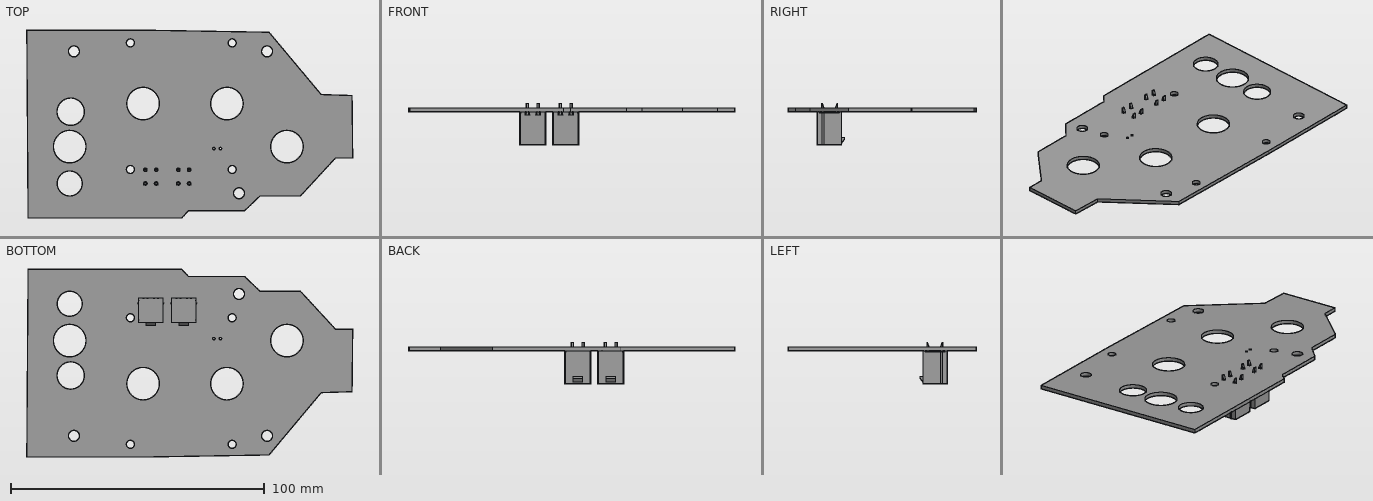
import cadquery as cq


board_length = 128.6
board_width = 74.2
board_thickness = 1.5
left = -board_length / 2
right = board_length / 2
back = board_width / 2
front = -board_width / 2
tail_front = -13.4
shoulder_front = -28.4
middle_front = -34.2

board_outline = [
    (left, back),
    (-19.3, back),
    (31.2, 36.3),
    (51.8, 11.7),
    (64.0, 11.3),
    (right, tail_front),
    (57.5, tail_front),
    (43.6, shoulder_front),
    (27.6, shoulder_front),
    (21.6, middle_front),
    (-0.5, middle_front),
    (-3.2, front),
    (-63.8, front),
]

small_mount_diameter = 3.1
small_mount_left = -23.4
small_mount_right = 16.7
small_mount_back = 32.0
small_mount_front = -17.9
small_mount_centres = [
    (x, y)
    for x in (small_mount_left, small_mount_right)
    for y in (small_mount_back, small_mount_front)
]

large_mount_diameter = 4.2
large_mount_centres = [(-45.6, 28.7), (30.5, 28.7), (19.4, -27.3)]

opening_diameter = 12.7
opening_centres = [(-18.4, 8.1), (14.7, 8.1), (-47.3, -8.9), (38.3, -8.9)]

back_port_diameter = 10.7
back_port_centre = (-46.9, 4.9)

front_port_diameter = 9.8
front_port_centre = (-47.3, -23.4)

lead_hole_diameter = 0.9
lead_hole_centres = [(9.5, -9.6), (12.1, -9.6)]

headers_middle_x = -8.9
header_spacing = 13.0
header_centre_y = -20.8
header_side = 9.6
header_height = 13.0

pin_pitch_x = 4.2
pin_pitch_y = 5.4
pin_rows_centre_y = -20.7
pin_width = 1.0
pin_thickness = 0.9
pin_tip_thickness = 0.3
pin_height = 1.8
pin_hole_diameter = 1.4

rib_reach = 0.4
rib_width = 0.8
rib_y = -23.4

relief_width = 7.7
relief_depth = 0.4

notch_top_width = 1.2
notch_bottom_width = 1.9
notch_height = 1.2

latch_reach = 1.2
latch_width = 3.9
latch_top = 3.0
latch_nose = 2.2
latch_bottom = 0.6

header_centres_x = [headers_middle_x + side * header_spacing / 2 for side in (-1, 1)]
board_bottom = -board_thickness
header_bottom = board_bottom - header_height
header_front = header_centre_y - header_side / 2
header_back = header_centre_y + header_side / 2


def pin_columns(header_x):
    return (header_x - pin_pitch_x / 2, header_x + pin_pitch_x / 2)


def pin_rows():
    """Y of each pin row, with the direction that points away from the other row."""
    return [(pin_rows_centre_y + side * pin_pitch_y / 2, side) for side in (-1, 1)]


def drill(body, diameter, centres):
    drills = (
        cq.Workplane("XY", origin=(0, 0, board_bottom))
        .pushPoints(centres)
        .circle(diameter / 2)
        .extrude(board_thickness)
    )
    return body.cut(drills)


def make_board():
    board = (
        cq.Workplane("XY", origin=(0, 0, board_bottom))
        .polyline(board_outline)
        .close()
        .extrude(board_thickness)
    )
    board = drill(board, small_mount_diameter, small_mount_centres)
    board = drill(board, large_mount_diameter, large_mount_centres)
    board = drill(board, opening_diameter, opening_centres)
    board = drill(board, back_port_diameter, [back_port_centre])
    board = drill(board, front_port_diameter, [front_port_centre])
    board = drill(board, lead_hole_diameter, lead_hole_centres)
    for header_x in header_centres_x:
        pin_centres = [(x, y) for x in pin_columns(header_x) for y, _ in pin_rows()]
        board = drill(board, pin_hole_diameter, pin_centres)
    return board


def make_pin(x, y, outward):
    """Rectangular pin whose tip is a wedge, upright on its outward side."""
    inner = y - outward * pin_thickness / 2
    outer = y + outward * pin_thickness / 2
    tip_inner = outer - outward * pin_tip_thickness
    root = board_bottom - notch_height
    profile = [(inner, root), (outer, root), (outer, pin_height), (tip_inner, pin_height), (inner, 0)]
    return (
        cq.Workplane("YZ", origin=(x - pin_width / 2, 0, 0))
        .polyline(profile)
        .close()
        .extrude(pin_width)
    )


def make_rib(header_x, side):
    """Triangular rib that rises from the side wall towards the front."""
    wall = header_x + side * header_side / 2
    rib_back = rib_y + rib_width / 2
    rib_front = rib_y - rib_width / 2
    profile = [(wall, rib_back), (wall + side * rib_reach, rib_front), (wall, rib_front)]
    return (
        cq.Workplane("XY", origin=(0, 0, header_bottom))
        .polyline(profile)
        .close()
        .extrude(header_height)
    )


def make_relief(header_x):
    return cq.Workplane("XY").box(header_side, relief_width, relief_depth).translate(
        (header_x, header_centre_y, board_bottom - relief_depth / 2)
    )


def make_notch(x):
    """Flared notch that runs from the front face back to the front pin row."""
    depth = pin_rows_centre_y - pin_pitch_y / 2 - header_front
    notch_bottom = board_bottom - notch_height
    profile = [
        (x - notch_top_width / 2, board_bottom),
        (x + notch_top_width / 2, board_bottom),
        (x + notch_bottom_width / 2, notch_bottom),
        (x - notch_bottom_width / 2, notch_bottom),
    ]
    return cq.Workplane("XZ", origin=(0, header_front, 0)).polyline(profile).close().extrude(-depth)


def make_latch(header_x):
    nose_y = header_back + latch_reach
    profile = [
        (header_back, header_bottom + latch_bottom),
        (nose_y, header_bottom + latch_nose),
        (nose_y, header_bottom + latch_top),
        (header_back, header_bottom + latch_top),
    ]
    return (
        cq.Workplane("YZ", origin=(header_x - latch_width / 2, 0, 0))
        .polyline(profile)
        .close()
        .extrude(latch_width)
    )


def make_header(header_x):
    header = cq.Workplane("XY").box(header_side, header_side, header_height).translate(
        (header_x, header_centre_y, board_bottom - header_height / 2)
    )
    for side in (-1, 1):
        header = header.union(make_rib(header_x, side))
    header = header.union(make_latch(header_x))
    header = header.cut(make_relief(header_x))
    for x in pin_columns(header_x):
        header = header.cut(make_notch(x))
        for y, outward in pin_rows():
            header = header.union(make_pin(x, y, outward))
    return header


board = make_board()
headers = [make_header(header_x) for header_x in header_centres_x]

result = cq.Compound.makeCompound([board.val(), *[header.val() for header in headers]])